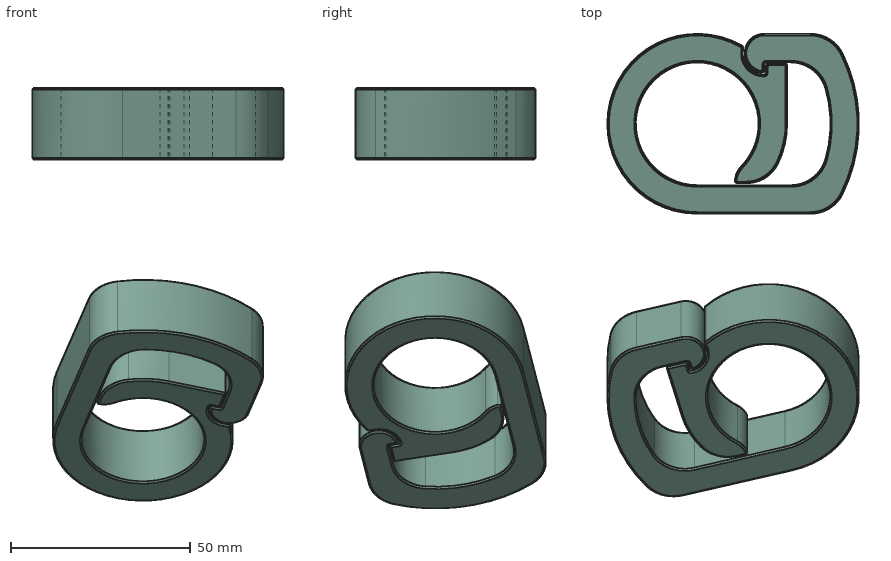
import cadquery as cq
import math

length = 70.25
width = 50.2
height = 20.0
wall = 8.0
catch_gap = 0.35
gap = 0.5
edge_chamfer = 0.5

ring_outer = width / 2
ring_inner = ring_outer - wall
right_x = length - ring_outer

corner_radius = 10.0
corner_x = 31.6

nose_radius = 5.5
nose_x = 18.7
nose_y = ring_outer - nose_radius
notch_radius = nose_radius + gap
notch_wall_x = nose_x + gap

arm_top = ring_inner - catch_gap
arm_bottom = gap - ring_inner
heel_radius = 10.0
toe_radius = 6.7
toe_angle = -44.0

catch_rounding = 0.6
ring_end_rounding = 1.0
toe_rounding = 0.85


def polar(centre, radius, degrees):
    angle = math.radians(degrees)
    return (centre[0] + radius * math.cos(angle), centre[1] + radius * math.sin(angle))


def add_arc(path, centre, radius, start, end):
    """Add an arc running from the start angle to the end angle, in degrees."""
    middle = polar(centre, radius, (start + end) / 2)
    return path.threePointArc(middle, polar(centre, radius, end))


def direction(start, end):
    return math.degrees(math.atan2(end[1] - start[1], end[0] - start[0]))


origin = (0, 0)

corner_y = ring_outer - corner_radius
corner_dx = right_x - corner_x
bow_radius = (corner_dx**2 + corner_y**2 - corner_radius**2) / (2 * (corner_dx - corner_radius))
bow_centre = (right_x - bow_radius, 0)
upper_corner = (corner_x, corner_y)
lower_corner = (corner_x, -corner_y)
bow_angle = direction(bow_centre, upper_corner)

window_radius = bow_radius - wall
window_y = ring_inner - corner_radius
window_x = bow_centre[0] + math.sqrt((window_radius - corner_radius) ** 2 - window_y**2)
upper_window = (window_x, window_y)
lower_window = (window_x, -window_y)
window_angle = direction(bow_centre, upper_window)

heel_y = arm_bottom + heel_radius
heel_x = math.sqrt((ring_outer - heel_radius) ** 2 - heel_y**2)
heel_angle = direction(origin, (heel_x, heel_y))

toe_centre = polar(origin, ring_inner + toe_radius, toe_angle)
toe_end_angle = 180 - math.degrees(math.asin((arm_bottom - toe_centre[1]) / toe_radius))
toe_point = polar(toe_centre, toe_radius, toe_end_angle)

nose_centre = (nose_x, nose_y)
nose_distance = math.hypot(nose_x, nose_y)
end_cosine = (ring_outer**2 + nose_distance**2 - notch_radius**2) / (2 * ring_outer * nose_distance)
ring_end_angle = direction(origin, nose_centre) + math.degrees(math.acos(end_cosine))
ring_end = polar(origin, ring_outer, ring_end_angle)
notch_end_angle = direction(nose_centre, ring_end) % 360


def make_profile():
    path = cq.Workplane("XY").workplane(offset=-height / 2).moveTo(0, -ring_outer)
    path = path.lineTo(corner_x, -ring_outer)
    path = add_arc(path, lower_corner, corner_radius, -90, -bow_angle)
    path = add_arc(path, bow_centre, bow_radius, -bow_angle, bow_angle)
    path = add_arc(path, upper_corner, corner_radius, bow_angle, 90)
    path = path.lineTo(nose_x, ring_outer)
    path = add_arc(path, nose_centre, nose_radius, 90, 270)
    path = path.lineTo(nose_x, ring_inner).lineTo(window_x, ring_inner)
    path = add_arc(path, upper_window, corner_radius, 90, window_angle)
    path = add_arc(path, bow_centre, window_radius, window_angle, -window_angle)
    path = add_arc(path, lower_window, corner_radius, -window_angle, -90)
    path = path.lineTo(0, -ring_inner)
    path = add_arc(path, origin, ring_inner, 270, toe_angle)
    path = add_arc(path, toe_centre, toe_radius, toe_angle + 180, toe_end_angle)
    path = path.lineTo(heel_x, arm_bottom)
    path = add_arc(path, (heel_x, heel_y), heel_radius, -90, heel_angle)
    path = add_arc(path, origin, ring_outer, heel_angle, 0)
    path = path.lineTo(ring_outer, arm_top).lineTo(notch_wall_x, arm_top)
    path = path.lineTo(notch_wall_x, nose_y - notch_radius).lineTo(nose_x, nose_y - notch_radius)
    path = add_arc(path, nose_centre, notch_radius, 270, notch_end_angle)
    path = add_arc(path, origin, ring_outer, ring_end_angle, 270)
    return path.close()


def round_corner(body, corner, radius):
    nearest = cq.selectors.NearestToPointSelector((corner[0], corner[1], 0))
    return body.edges("|Z").edges(nearest).fillet(radius)


catch_corners = [
    (nose_x, nose_y - nose_radius),
    (nose_x, ring_inner),
    (ring_outer, arm_top),
    (notch_wall_x, arm_top),
    (notch_wall_x, nose_y - notch_radius),
]

body = make_profile().extrude(height)
for corner in catch_corners:
    body = round_corner(body, corner, catch_rounding)
body = round_corner(body, ring_end, ring_end_rounding)
body = round_corner(body, toe_point, toe_rounding)

result = body.faces("<Z or >Z").chamfer(edge_chamfer)